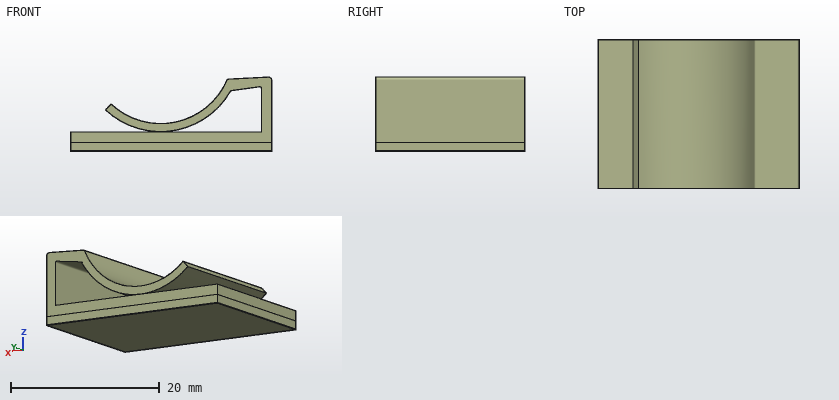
import cadquery as cq
import math

length = 27.0
width = 20.0
height = 10.02

liner_thickness = 0.1
pad_thickness = 1.1
base_thickness = 1.4
pad_bottom = liner_thickness
base_bottom = pad_bottom + pad_thickness
base_top = base_bottom + base_thickness

arm_gap = 0.014
arm_thickness = 1.1
cradle_radius = 9.72
arm_outer_radius = cradle_radius + arm_thickness
arm_center_x = 12.07
arm_center_z = base_top + arm_gap + arm_outer_radius
tip_angle = 226.8
arm_bottom_angle = 270.0
cradle_end_angle = 337.3
underside_angle = 330.5

wall_thickness = 1.4
wall_inner_x = length - wall_thickness
roof_underside_z = 8.7
outer_corner_radius = 0.45
inner_corner_radius = 0.22
arm_corner_radius = 0.25


def arm_point(radius, angle):
    """Point on an arc about the arm's center, as (x, z)."""
    turn = math.radians(angle)
    return (arm_center_x + radius * math.cos(turn), arm_center_z + radius * math.sin(turn))


def make_layer(bottom, thickness):
    """Flat rectangular layer covering the full footprint."""
    return cq.Workplane("XY").workplane(offset=bottom).rect(length, width, centered=False).extrude(thickness)


def round_edge(body, point, radius):
    """Round the edge along Y that passes through the (x, z) point."""
    x, z = point
    selector = cq.selectors.NearestToPointSelector((x, width / 2, z))
    return body.edges("|Y").edges(selector).fillet(radius)


def make_clip():
    """Base, rear wall, sloped roof and curved arm in one bent strip."""
    base_front = (0, base_bottom)
    roof_corner = (length, height)
    inner_roof_corner = (wall_inner_x, roof_underside_z)
    arm_underside_end = arm_point(arm_outer_radius, underside_angle)
    cradle_end = arm_point(cradle_radius, cradle_end_angle)

    clip = (
        cq.Workplane("XZ")
        .moveTo(*base_front)
        .lineTo(length, base_bottom)
        .lineTo(*roof_corner)
        .lineTo(*cradle_end)
        .threePointArc(arm_point(cradle_radius, arm_bottom_angle), arm_point(cradle_radius, tip_angle))
        .lineTo(*arm_point(arm_outer_radius, tip_angle))
        .threePointArc(arm_point(arm_outer_radius, arm_bottom_angle), arm_underside_end)
        .lineTo(*inner_roof_corner)
        .lineTo(wall_inner_x, base_top)
        .lineTo(0, base_top)
        .close()
        .extrude(-width)
    )
    clip = round_edge(clip, roof_corner, outer_corner_radius)
    clip = round_edge(clip, inner_roof_corner, inner_corner_radius)
    clip = round_edge(clip, cradle_end, arm_corner_radius)
    return round_edge(clip, arm_underside_end, arm_corner_radius)


liner = make_layer(0, liner_thickness)
adhesive_pad = make_layer(pad_bottom, pad_thickness)
clip = make_clip()

result = cq.Compound.makeCompound([liner.val(), adhesive_pad.val(), clip.val()])